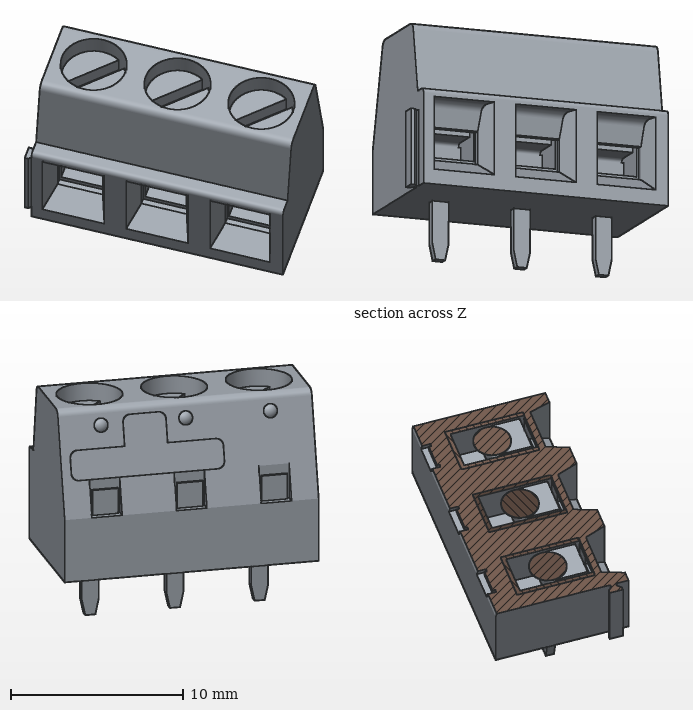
import cadquery as cq
import math


POLES = 3
TOTAL_LENGTH = 15.8
KEY_PROJECTION = 0.57
LENGTH = TOTAL_LENGTH - KEY_PROJECTION
DEPTH = 8.15
HEIGHT = 10.0
PITCH = LENGTH / POLES
POLE_CENTERS = [PITCH * (pole + 0.5) for pole in range(POLES)]

STEP_DEPTH = 0.93
STEP_HEIGHT = 5.72
STEP_RADIUS = 0.3
FRONT_CREST_Y = 1.72
BACK_CREST_Y = 6.5
BACK_WALL_HEIGHT = 3.82
CREST_RADIUS = 0.49
BACK_RUN = DEPTH - BACK_CREST_Y
BACK_RISE = HEIGHT - BACK_WALL_HEIGHT
BACK_LEAN = math.atan2(BACK_RUN, BACK_RISE)

KEY_CENTER_Y = 0.95
KEY_HEIGHT = 4.53
KEY_HEAD_WIDTH = 0.82
KEY_HEAD_THICKNESS = 0.22
KEY_NECK_WIDTH = 0.38
KEY_NECK_LENGTH = 0.15

ENTRY_WIDTH = 3.75
ENTRY_BOTTOM = 0.88
ENTRY_TOP = 5.23
LAST_ENTRY_TRIM = 0.13
FUNNEL_DEPTH = 1.37
FUNNEL_CEILING_DEPTH = 1.0
FUNNEL_RADIUS = 0.5
TUNNEL_WIDTH = 2.73
TUNNEL_BOTTOM = 1.77
TUNNEL_TOP = 3.75

PIN_FRONT_Y = 3.82
PIN_THICKNESS = 0.5
PIN_BACK_Y = PIN_FRONT_Y + PIN_THICKNESS
PIN_WIDTH = 1.01
PIN_LENGTH = 3.48
PIN_TIP_WIDTH = 0.6
PIN_TIP_LENGTH = 0.95
TONGUE_WIDTH = 2.25
TONGUE_FRONT_Y = 2.05
TONGUE_BOTTOM = 3.54
TONGUE_TOP = TONGUE_BOTTOM + PIN_THICKNESS
BEND_RADIUS = 0.2

CAGE_WALL = 0.25
CAGE_INNER_WIDTH = 2.5
CAGE_WIDTH = CAGE_INNER_WIDTH + 2 * CAGE_WALL
CAGE_FRONT_Y = 1.74
CAGE_FLOOR_BOTTOM = 1.52
CAGE_FLOOR_TOP = 2.02
CAGE_ROOF_BOTTOM = 4.74
CAGE_TOP = 5.69

SCREW_Y = 4.11
SCREW_BORE_RADIUS = 1.93
SCREW_HEAD_RADIUS = 1.86
SCREW_HEAD_TOP = 8.96
SCREW_HEAD_BOTTOM = 6.95
SCREW_SHANK_RADIUS = 1.1
SCREW_SLOT_WIDTH = 0.7
SCREW_SLOT_DEPTH = 0.9
SCREW_SLOT_ANGLE = 45

CAGE_BACK_Y = 2 * SCREW_Y - CAGE_FRONT_Y

WINDOW_WIDTH = 1.82
WINDOW_WALL_Y = 7.58
WINDOW_RIB_WIDTH = 1.53
WINDOW_RIB_DEPTH = 0.16
BUMP_Z = 8.97
BUMP_RADIUS = 0.41
BUMP_HEIGHT = 0.19
LABEL_LEFT = 5.48
LABEL_RIGHT = 14.66
LABEL_BOTTOM_Z = 5.97
LABEL_TOP_Z = 7.68
LABEL_RADIUS = 0.45
LABEL_TAB_LEFT = 8.8
LABEL_TAB_RIGHT = 11.38
LABEL_TAB_TOP_Z = 9.45
LABEL_THICKNESS = 0.05


def block(x_center, width, y_min, y_max, z_min, z_max):
    """Box centred on x_center between the given Y and Z limits."""
    size = (width, y_max - y_min, z_max - z_min)
    return cq.Workplane("XY").box(*size, centered=(True, False, False)).translate(
        (x_center, y_min, z_min)
    )


def screw_cylinder(x_center, radius, z_min, z_max):
    """Upright cylinder on the screw axis of one pole."""
    return (
        cq.Workplane("XY", origin=(x_center, SCREW_Y, z_min))
        .circle(radius)
        .extrude(z_max - z_min)
    )


def up_the_back(z):
    """Distance along the leaning back face from its lower edge to height z."""
    return (z - BACK_WALL_HEIGHT) / math.cos(BACK_LEAN)


def make_shell():
    """Solid block with a front step, leaning front and back faces and rounded edges."""
    outline = [
        (0, 0),
        (0, STEP_HEIGHT),
        (STEP_DEPTH, STEP_HEIGHT),
        (FRONT_CREST_Y, HEIGHT),
        (BACK_CREST_Y, HEIGHT),
        (DEPTH, BACK_WALL_HEIGHT),
        (DEPTH, 0),
    ]
    shell = cq.Workplane("YZ").polyline(outline).close().extrude(LENGTH)
    shell = shell.edges("|X and >Z").fillet(CREST_RADIUS)
    step_edge = cq.selectors.NearestToPointSelector((LENGTH / 2, 0, STEP_HEIGHT))
    return shell.edges(step_edge).fillet(STEP_RADIUS)


def make_key():
    """Dovetail rail: a narrow neck that widens into a flat head."""
    head_start = KEY_HEAD_THICKNESS - KEY_PROJECTION
    half_profile = [
        (0, KEY_NECK_WIDTH / 2),
        (-KEY_NECK_LENGTH, KEY_NECK_WIDTH / 2),
        (head_start, KEY_HEAD_WIDTH / 2),
        (-KEY_PROJECTION, KEY_HEAD_WIDTH / 2),
    ]
    mirrored = [(x, -y) for x, y in reversed(half_profile)]
    return (
        cq.Workplane("XY", origin=(0, KEY_CENTER_Y, 0))
        .polyline(half_profile + mirrored)
        .close()
        .extrude(KEY_HEIGHT)
    )


def make_funnel(x_center, right_trim):
    """Wire entry that narrows from the front face to the tunnel."""
    plan = [
        (-ENTRY_WIDTH / 2, 0),
        (ENTRY_WIDTH / 2 - right_trim, 0),
        (TUNNEL_WIDTH / 2, FUNNEL_DEPTH),
        (-TUNNEL_WIDTH / 2, FUNNEL_DEPTH),
    ]
    side = [
        (0, ENTRY_BOTTOM),
        (FUNNEL_DEPTH, TUNNEL_BOTTOM),
        (FUNNEL_DEPTH, TUNNEL_TOP),
        (FUNNEL_CEILING_DEPTH, ENTRY_TOP),
        (0, ENTRY_TOP),
    ]
    sides = cq.Workplane("XY").polyline(plan).close().extrude(HEIGHT)
    floor_and_ceiling = (
        cq.Workplane("YZ").polyline(side).close().extrude(ENTRY_WIDTH / 2, both=True)
    )
    ceiling_edge = cq.selectors.NearestToPointSelector((0, FUNNEL_CEILING_DEPTH, ENTRY_TOP))
    floor_and_ceiling = floor_and_ceiling.edges(ceiling_edge).fillet(FUNNEL_RADIUS)
    return sides.intersect(floor_and_ceiling).translate((x_center, 0, 0))


def make_bump(x_center):
    """Shallow dome on the leaning back face."""
    sphere_radius = (BUMP_RADIUS**2 + BUMP_HEIGHT**2) / (2 * BUMP_HEIGHT)
    sunk = sphere_radius - BUMP_HEIGHT
    surface_y = DEPTH - (BUMP_Z - BACK_WALL_HEIGHT) * math.tan(BACK_LEAN)
    center = (
        x_center,
        surface_y - sunk * math.cos(BACK_LEAN),
        BUMP_Z - sunk * math.sin(BACK_LEAN),
    )
    return cq.Workplane("XY").sphere(sphere_radius).translate(center)


def make_label_plate():
    """Thin raised plate with a tab on the leaning back face."""
    back_face = cq.Plane(
        origin=(0, DEPTH, BACK_WALL_HEIGHT),
        xDir=(-1, 0, 0),
        normal=(0, math.cos(BACK_LEAN), math.sin(BACK_LEAN)),
    )

    def rounded_plate(left, right, z_min, z_max):
        width = right - left
        low = up_the_back(z_min)
        rise = up_the_back(z_max) - low
        return (
            cq.Workplane(back_face)
            .center(-(left + right) / 2, low + rise / 2)
            .rect(width, rise)
            .extrude(LABEL_THICKNESS)
            .edges(cq.selectors.ParallelDirSelector(back_face.zDir))
            .fillet(LABEL_RADIUS)
        )

    plate = rounded_plate(LABEL_LEFT, LABEL_RIGHT, LABEL_BOTTOM_Z, LABEL_TOP_Z)
    return plate.union(rounded_plate(LABEL_TAB_LEFT, LABEL_TAB_RIGHT, LABEL_BOTTOM_Z, LABEL_TAB_TOP_Z))


def make_window(x_center):
    """Notch in the leaning back face, with a rib standing on its upright wall."""
    window = block(x_center, WINDOW_WIDTH, WINDOW_WALL_Y, DEPTH, BACK_WALL_HEIGHT, HEIGHT)
    rib_front = WINDOW_WALL_Y + WINDOW_RIB_DEPTH
    rib_top = BACK_WALL_HEIGHT + (DEPTH - rib_front) / math.tan(BACK_LEAN)
    rib = block(x_center, WINDOW_RIB_WIDTH, WINDOW_WALL_Y, rib_front, BACK_WALL_HEIGHT, rib_top)
    return window.cut(rib)


def make_housing():
    housing = make_shell().union(make_key())
    for x in POLE_CENTERS:
        right_trim = LAST_ENTRY_TRIM if x == POLE_CENTERS[-1] else 0
        housing = (
            housing.union(make_bump(x))
            .cut(make_window(x))
            .cut(make_funnel(x, right_trim))
            .cut(block(x, TUNNEL_WIDTH, FUNNEL_DEPTH, CAGE_FRONT_Y, TUNNEL_BOTTOM, TUNNEL_TOP))
            .cut(block(x, CAGE_WIDTH, CAGE_FRONT_Y, CAGE_BACK_Y, CAGE_FLOOR_BOTTOM, CAGE_TOP))
            .cut(block(x, PIN_WIDTH, PIN_FRONT_Y, PIN_BACK_Y, 0, CAGE_FLOOR_BOTTOM))
            .cut(screw_cylinder(x, SCREW_SHANK_RADIUS, CAGE_TOP, SCREW_HEAD_BOTTOM))
            .cut(screw_cylinder(x, SCREW_BORE_RADIUS, SCREW_HEAD_BOTTOM, HEIGHT))
        )
    return housing.union(make_label_plate())


def make_cage(x_center):
    """Closed box, open at the front, bored for the screw and slotted for the pin."""
    inner_back_y = CAGE_BACK_Y - CAGE_WALL
    body = block(x_center, CAGE_WIDTH, CAGE_FRONT_Y, CAGE_BACK_Y, CAGE_FLOOR_BOTTOM, CAGE_TOP)
    inside = block(
        x_center, CAGE_INNER_WIDTH, CAGE_FRONT_Y, inner_back_y, CAGE_FLOOR_TOP, CAGE_ROOF_BOTTOM
    )
    pin_slot = block(
        x_center, PIN_WIDTH, PIN_FRONT_Y, PIN_BACK_Y, CAGE_FLOOR_BOTTOM, CAGE_FLOOR_TOP
    )
    screw_bore = screw_cylinder(x_center, SCREW_SHANK_RADIUS, CAGE_ROOF_BOTTOM, CAGE_TOP)
    return body.cut(inside).cut(pin_slot).cut(screw_bore)


def make_screw(x_center):
    """Slotted screw whose shank presses on the pin's tongue."""
    head = screw_cylinder(x_center, SCREW_HEAD_RADIUS, SCREW_HEAD_BOTTOM, SCREW_HEAD_TOP)
    shank = screw_cylinder(x_center, SCREW_SHANK_RADIUS, TONGUE_TOP, SCREW_HEAD_BOTTOM)
    slot = (
        cq.Workplane("XY", origin=(x_center, SCREW_Y, SCREW_HEAD_TOP - SCREW_SLOT_DEPTH))
        .transformed(rotate=(0, 0, SCREW_SLOT_ANGLE))
        .rect(2 * SCREW_BORE_RADIUS, SCREW_SLOT_WIDTH)
        .extrude(SCREW_SLOT_DEPTH)
    )
    return head.union(shank).cut(slot)


def make_pin(x_center):
    """Bent strip: a tapered leg, a wide plate inside the cage and a tongue under the screw."""
    tip_start = PIN_TIP_LENGTH - PIN_LENGTH
    leg_outline = [
        (-PIN_WIDTH / 2, CAGE_FLOOR_TOP),
        (-PIN_WIDTH / 2, tip_start),
        (-PIN_TIP_WIDTH / 2, -PIN_LENGTH),
        (PIN_TIP_WIDTH / 2, -PIN_LENGTH),
        (PIN_WIDTH / 2, tip_start),
        (PIN_WIDTH / 2, CAGE_FLOOR_TOP),
    ]
    leg = (
        cq.Workplane("XZ", origin=(x_center, PIN_FRONT_Y, 0))
        .polyline(leg_outline)
        .close()
        .extrude(-PIN_THICKNESS)
    )
    plate_top = TONGUE_BOTTOM - BEND_RADIUS
    plate = block(x_center, CAGE_INNER_WIDTH, PIN_FRONT_Y, PIN_BACK_Y, CAGE_FLOOR_TOP, plate_top)
    bend_diagonal = math.sqrt(0.5)
    outer_radius = BEND_RADIUS + PIN_THICKNESS
    bend_y = PIN_FRONT_Y - BEND_RADIUS
    tongue = (
        cq.Workplane("YZ", origin=(x_center - TONGUE_WIDTH / 2, 0, 0))
        .moveTo(TONGUE_FRONT_Y, TONGUE_BOTTOM)
        .lineTo(bend_y, TONGUE_BOTTOM)
        .threePointArc(
            (bend_y + BEND_RADIUS * bend_diagonal, plate_top + BEND_RADIUS * bend_diagonal),
            (PIN_FRONT_Y, plate_top),
        )
        .lineTo(PIN_BACK_Y, plate_top)
        .threePointArc(
            (bend_y + outer_radius * bend_diagonal, plate_top + outer_radius * bend_diagonal),
            (bend_y, TONGUE_TOP),
        )
        .lineTo(TONGUE_FRONT_Y, TONGUE_TOP)
        .close()
        .extrude(TONGUE_WIDTH)
    )
    return leg.union(plate).union(tongue)


housing = make_housing()
cages = [make_cage(x) for x in POLE_CENTERS]
screws = [make_screw(x) for x in POLE_CENTERS]
pins = [make_pin(x) for x in POLE_CENTERS]

result = cq.Compound.makeCompound(
    [body.val() for body in [housing, *cages, *screws, *pins]]
)